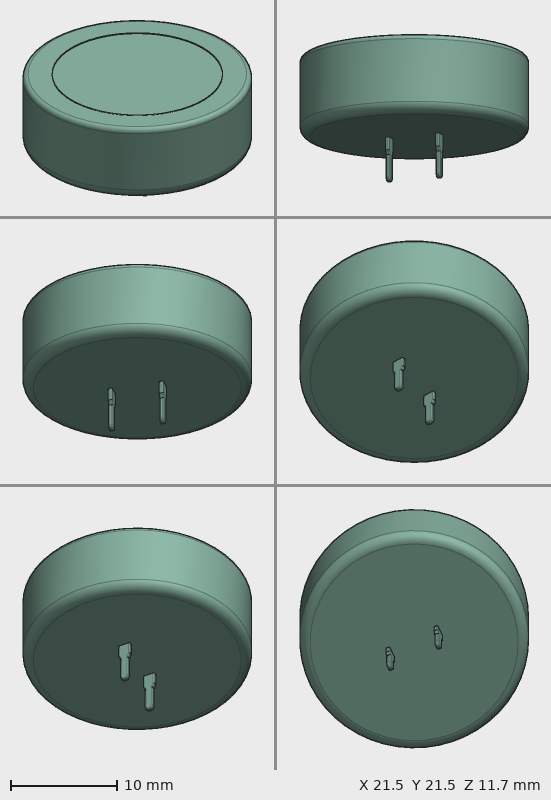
import cadquery as cq

can_diameter = 21.5
can_height = 7.5
top_edge_radius = 0.5
bottom_edge_radius = 0.99

window_diameter = 16.0
window_depth = 0.09

pin_pitch = 4.99
pin_length = 4.2
pin_thickness = 0.4
shoulder_width = 1.2
blade_width = 0.8
shoulder_length = 1.25
taper_length = 0.43
pin_edge_radius = 0.1


def make_can():
    """Round can with rounded rims, resting on the plane Z = 0."""
    can = cq.Workplane("XY").circle(can_diameter / 2).extrude(can_height)
    can = can.faces(">Z").edges().fillet(top_edge_radius)
    can = can.faces("<Z").edges().fillet(bottom_edge_radius)
    window = (
        cq.Workplane("XY")
        .workplane(offset=can_height - window_depth)
        .circle(window_diameter / 2)
        .extrude(window_depth)
    )
    return can.cut(window)


def make_pin(x):
    """Stepped blade hanging below the can, with a full-round tip and softened edges."""
    shoulder = shoulder_width / 2
    blade = blade_width / 2
    taper_end = -shoulder_length - taper_length
    tip_start = -pin_length + blade
    pin = (
        cq.Workplane("YZ", origin=(x - pin_thickness / 2, 0, 0))
        .moveTo(-shoulder, 0)
        .lineTo(-shoulder, -shoulder_length)
        .lineTo(-blade, taper_end)
        .lineTo(-blade, tip_start)
        .threePointArc((0, -pin_length), (blade, tip_start))
        .lineTo(blade, taper_end)
        .lineTo(shoulder, -shoulder_length)
        .lineTo(shoulder, 0)
        .close()
        .extrude(pin_thickness)
    )
    return pin.faces("<X or >X").edges("not >Z").fillet(pin_edge_radius)


result = make_can()
for side in (-1, 1):
    result = result.union(make_pin(side * pin_pitch / 2))